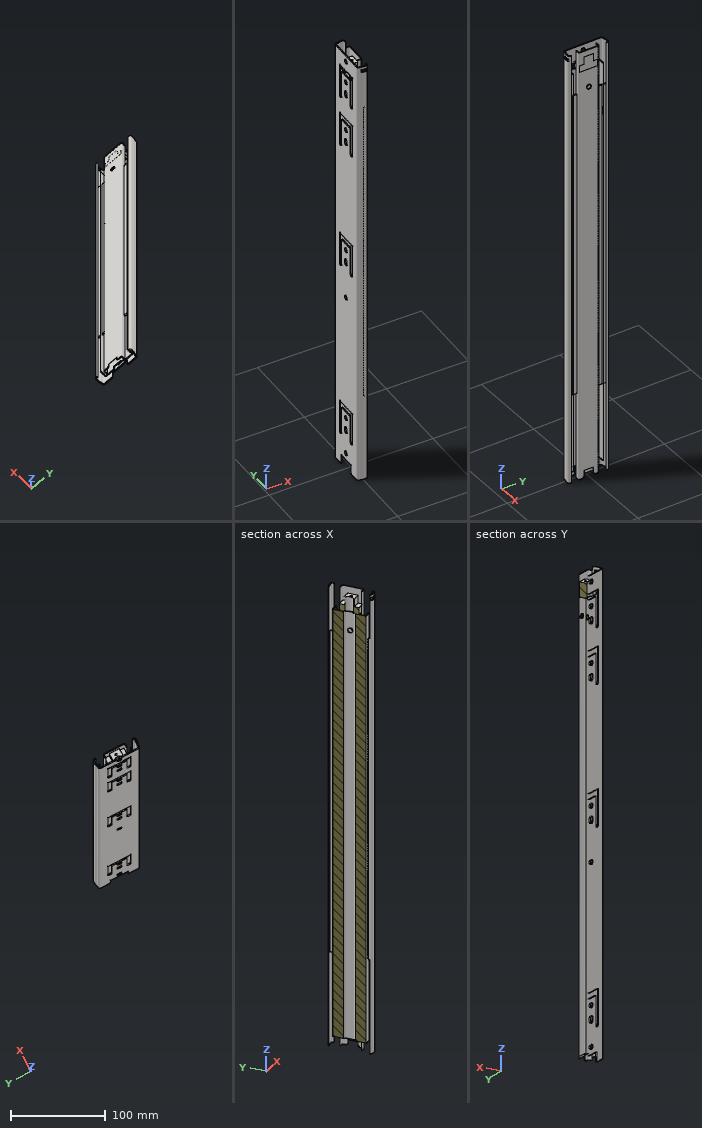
import cadquery as cq

length = 550.0
rail_depth = 12.5
rail_width = 51.5
back_face = -rail_depth / 2
front_face = rail_depth / 2
cut_depth = 2 * rail_depth

outer_gauge = 1.4
outer_bend_radius = 1.5
outer_web_x = back_face + outer_gauge / 2
track_y = rail_width / 2 - outer_gauge / 2
flange_root_y = 24.0
track_start_x = -3.0
track_x = 0.5
lip_y = 22.5

middle_gauge = 1.0
middle_bend_radius = 1.0
middle_bottom = 12.0
middle_top = 524.0
middle_web_x = -4.0
middle_flange_y = 19.0
middle_tip_x = 4.0
bead_floor_x = -1.5
bead_floor_y = 5.0
bead_mouth_y = 7.5

inner_gauge = 1.0
inner_bend_radius = 1.0
inner_web_x = front_face - inner_gauge / 2
inner_flange_y = 12.5
inner_tip_x = 1.0

tongue_tops = [529.5, 466.0, 306.0, 82.0]
tongue_slot_height = 42.5
tongue_slot_width = 5.0
tongue_slot_y = 11.5
tongue_bar_height = 6.5
tongue_hole_drop = 15.0
tongue_oblong_drop = 31.0
tongue_hole_diameter = 5.5
tongue_oblong_length = 8.0

web_holes = [542.5, 227.5, 20.5]
web_hole_diameter = 5.5
access_hole_z = 501.5
access_hole_diameter = 5.5
outer_notch_width = 21.5
outer_notch_height = 11.5
inner_notch_width = 11.5
inner_notch_height = 6.0
inner_notch_flare = 1.5
inner_notch_bevel = 3.5
flange_slot_start_x = -1.5
flange_slot_end_x = 4.5
flange_slot_z = 544.5
flange_slot_height = 3.5

strip_bottom = 110.0
strip_top = 495.0
strip_start_x = 1.0
strip_end_x = 3.0

stop_base_top = 532.5
stop_top = 542.0
stop_head_y = 6.0
stop_groove_y = 5.5
stop_groove_depth = 3.5
stop_bore_x = 1.0
stop_bore_diameter = 2.0


def bent_sheet(half_path, gauge, bend_radius, bottom, top):
    """Sheet section symmetric about Y = 0; half_path is its mid-line from the centre to a tip."""
    mirrored = [(x, -y) for x, y in reversed(half_path)]
    points = [cq.Vector(x, y, bottom) for x, y in mirrored + half_path]
    mid_line = cq.Wire.makePolygon(points).fillet(bend_radius)
    section = cq.Workplane("XY", origin=(0, 0, bottom)).newObject([mid_line]).toPending()
    return section.offset2D(gauge / 2).extrude(top - bottom)


def block(x_range, y_range, z_range):
    """Box between the given limits."""
    size = [high - low for low, high in (x_range, y_range, z_range)]
    corner = (x_range[0], y_range[0], z_range[0])
    return cq.Workplane("XY").box(*size, centered=False).translate(corner)


def web_sketch(y, z):
    """Sketch plane facing +X, centred at (y, z) behind the whole slide."""
    return cq.Workplane("YZ", origin=(-rail_depth, y, z))


def round_hole(z, diameter):
    return web_sketch(0, z).circle(diameter / 2).extrude(cut_depth)


def upright_slot(y, z, height, width):
    """Round-ended slot cutter along Z, centred at (y, z)."""
    return web_sketch(y, z).slot2D(height, width, 90).extrude(cut_depth)


def tongue_cutter(top):
    """U-shaped slot that frees a tongue, with the tongue's round and oblong holes."""
    bar_width = 2 * tongue_slot_y + tongue_slot_width
    leg_z = top - tongue_slot_height / 2
    cutter = web_sketch(0, top - tongue_bar_height / 2).rect(bar_width, tongue_bar_height).extrude(cut_depth)
    for side in (-1, 1):
        leg = upright_slot(side * tongue_slot_y, leg_z, tongue_slot_height, tongue_slot_width)
        cutter = cutter.union(leg)
    hole = round_hole(top - tongue_hole_drop, tongue_hole_diameter)
    oblong = upright_slot(0, top - tongue_oblong_drop, tongue_oblong_length, tongue_hole_diameter)
    web_layer = block(
        (-rail_depth, back_face + outer_gauge), (-rail_width / 2, rail_width / 2), (0, length)
    )
    return cutter.union(hole).union(oblong).intersect(web_layer)


def make_outer_rail():
    half_path = [
        (outer_web_x, flange_root_y),
        (track_start_x, flange_root_y),
        (track_x, track_y),
        (front_face - outer_gauge / 2, track_y),
        (front_face - outer_gauge / 2, lip_y),
    ]
    rail = bent_sheet(half_path, outer_gauge, outer_bend_radius, 0, length)
    for top in tongue_tops:
        rail = rail.cut(tongue_cutter(top))
    for z in web_holes:
        rail = rail.cut(round_hole(z, web_hole_diameter))
    notch = web_sketch(0, 0).rect(outer_notch_width, 2 * outer_notch_height).extrude(cut_depth)
    flange_slot = block(
        (flange_slot_start_x, flange_slot_end_x),
        (-rail_width / 2, 0),
        (flange_slot_z - flange_slot_height / 2, flange_slot_z + flange_slot_height / 2),
    )
    return rail.cut(notch).cut(flange_slot)


def make_middle_rail():
    half_path = [
        (bead_floor_x, bead_floor_y),
        (middle_web_x, bead_mouth_y),
        (middle_web_x, middle_flange_y),
        (middle_tip_x, middle_flange_y),
    ]
    rail = bent_sheet(half_path, middle_gauge, middle_bend_radius, middle_bottom, middle_top)
    return rail.cut(round_hole(access_hole_z, access_hole_diameter))


def make_inner_rail():
    half_path = [(inner_web_x, inner_flange_y), (inner_tip_x, inner_flange_y)]
    rail = bent_sheet(half_path, inner_gauge, inner_bend_radius, 0, length)
    half_notch = inner_notch_width / 2
    notch = (
        web_sketch(0, 0)
        .moveTo(-half_notch - inner_notch_flare, 0)
        .radiusArc((-half_notch, inner_notch_flare), inner_notch_flare)
        .lineTo(-half_notch, inner_notch_height)
        .lineTo(half_notch, inner_notch_height)
        .lineTo(half_notch, inner_notch_flare)
        .radiusArc((half_notch + inner_notch_flare, 0), inner_notch_flare)
        .close()
        .extrude(cut_depth)
    )
    bevel = (
        cq.Workplane("XZ", origin=(0, half_notch, 0))
        .moveTo(front_face, inner_notch_height)
        .lineTo(front_face - inner_gauge, inner_notch_height)
        .lineTo(front_face - inner_gauge, inner_notch_height + inner_notch_bevel)
        .close()
        .extrude(inner_notch_width)
    )
    access_hole = round_hole(access_hole_z, access_hole_diameter)
    return rail.cut(notch).cut(bevel).cut(access_hole)


def make_retainer_strip(side, near_y, far_y):
    """Strip that fills the ball gap between near_y and far_y on one side of the slide."""
    y_range = sorted((side * near_y, side * far_y))
    return block((strip_start_x, strip_end_x), y_range, (strip_bottom, strip_top))


def make_stop_block():
    """Block between the rail webs: wide base, narrow head, grooved back and upright bore."""
    stop_back = back_face + outer_gauge
    stop_half = inner_flange_y - inner_bend_radius
    x_range = (stop_back, front_face - inner_gauge)
    base = block(x_range, (-stop_half, stop_half), (middle_top, stop_base_top))
    head = block(x_range, (-stop_head_y, stop_head_y), (stop_base_top, stop_top))
    groove = (
        cq.Workplane("XY", origin=(0, 0, middle_top))
        .moveTo(stop_back, -stop_groove_y)
        .threePointArc((stop_back + stop_groove_depth, 0), (stop_back, stop_groove_y))
        .close()
        .extrude(stop_top - middle_top)
    )
    bore = (
        cq.Workplane("XY", origin=(stop_bore_x, 0, middle_top))
        .circle(stop_bore_diameter / 2)
        .extrude(stop_top - middle_top)
    )
    return base.union(head).cut(groove).cut(bore)


outer_rail = make_outer_rail()
middle_rail = make_middle_rail()
inner_rail = make_inner_rail()
stop_block = make_stop_block()

ball_gaps = [
    (inner_flange_y + inner_gauge / 2, middle_flange_y - middle_gauge / 2),
    (middle_flange_y + middle_gauge / 2, track_y - outer_gauge / 2),
]
retainer_strips = []
for side in (-1, 1):
    for near_y, far_y in ball_gaps:
        retainer_strips.append(make_retainer_strip(side, near_y, far_y).val())

result = cq.Compound.makeCompound(
    [outer_rail.val(), middle_rail.val(), inner_rail.val(), stop_block.val(), *retainer_strips]
)